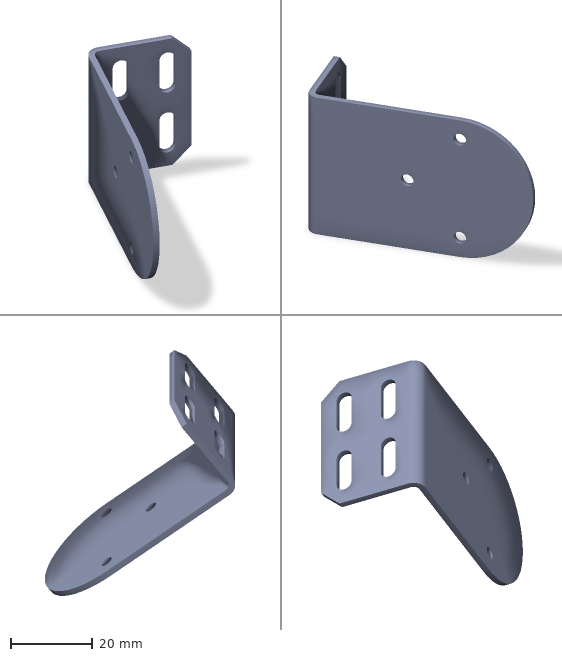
import cadquery as cq

length = 59.05
depth = 26.8
height = 38.0

thickness = 1.6
bend_inner_radius = 1.6
bend_outer_radius = bend_inner_radius + thickness

end_radius = height / 2
end_center_x = length - end_radius
hole_diameter = 3.2
hole_circle_radius = 13.65

corner_cut = 4.95
slot_length = 12.0
slot_width = 4.0
slot_pitch_y = 12.0
slot_pitch_z = 18.0
slot_grid_center_y = 14.6


def bent_sheet():
    """L-shaped sheet with a rounded bend along Z, centred on Z = 0."""
    outside = (
        cq.Workplane("XY")
        .rect(length, depth, centered=False)
        .extrude(height)
        .edges("|Z and <X and <Y")
        .fillet(bend_outer_radius)
    )
    inside = (
        cq.Workplane("XY")
        .center(thickness, thickness)
        .rect(length, depth, centered=False)
        .extrude(height)
        .edges("|Z and <X and <Y")
        .fillet(bend_inner_radius)
    )
    return outside.cut(inside).translate((0, 0, -height / 2))


def face_outline():
    """Full-depth block with the half-round end of the face plate."""
    return (
        cq.Workplane("XZ")
        .moveTo(0, -end_radius)
        .lineTo(end_center_x, -end_radius)
        .threePointArc((length, 0), (end_center_x, end_radius))
        .lineTo(0, end_radius)
        .close()
        .extrude(-depth)
    )


def face_holes():
    """Cutters for the three holes, a quarter turn apart."""
    centers = [
        (end_center_x - hole_circle_radius, 0),
        (end_center_x, hole_circle_radius),
        (end_center_x, -hole_circle_radius),
    ]
    return cq.Workplane("XZ").pushPoints(centers).circle(hole_diameter / 2).extrude(-thickness)


def flange_slots():
    """Cutters for the grid of slots, elongated along Z."""
    return (
        cq.Workplane("YZ")
        .center(slot_grid_center_y, 0)
        .rarray(slot_pitch_y, slot_pitch_z, 2, 2)
        .slot2D(slot_length, slot_width, 90)
        .extrude(thickness)
    )


bracket = bent_sheet().intersect(face_outline())
bracket = bracket.edges("|X and >Y").chamfer(corner_cut)
result = bracket.cut(face_holes()).cut(flange_slots())